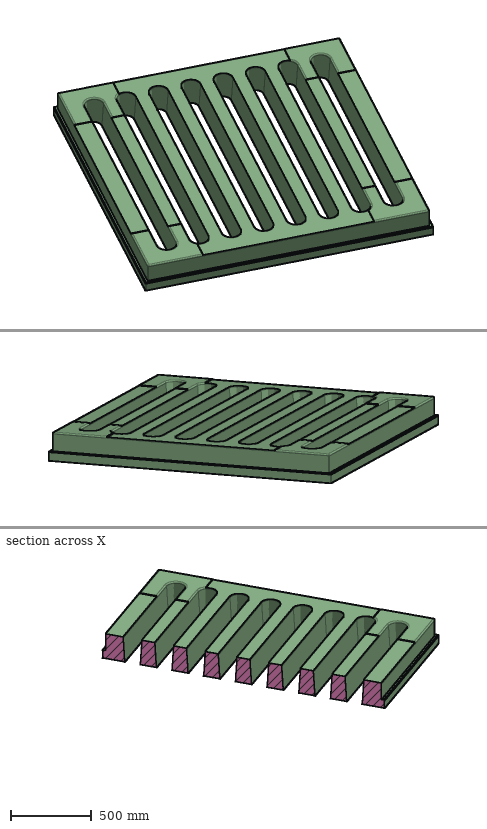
import cadquery as cq

base_side = 1870.0
flange_height = 60.0
flange_bevel = 5.0

total_height = 180.0
flange_ledge = 20.0
body_side = base_side - 2 * flange_ledge

corner_radius = 5.0
rim_radius = 10.0

recess_depth = 5.0
recess_width_x = 1150.0
recess_width_y = 1110.0

slot_count = 8
slot_pitch = 210.0
slot_top_length = 1596.0
slot_top_width = 122.0
slot_narrowing = 11.0
slot_bottom_length = slot_top_length - 2 * slot_narrowing
slot_bottom_width = slot_top_width - 2 * slot_narrowing


def square_block(side, height):
    """Square block standing on Z = 0 with rounded vertical corners."""
    block = cq.Workplane("XY").rect(side, side).extrude(height)
    return block.edges("|Z").fillet(corner_radius)


def stepped_block():
    """Body rising from the wider flange, whose upper edge is bevelled."""
    flange = square_block(base_side, flange_height)
    flange = flange.faces(">Z").edges().chamfer(flange_bevel)
    return flange.union(square_block(body_side, total_height))


def slot_cutter(y):
    """Long tapered slot through the full height, centred at the given Y."""
    return (
        cq.Workplane("XY")
        .center(0, y)
        .slot2D(slot_bottom_length, slot_bottom_width)
        .workplane(offset=total_height)
        .slot2D(slot_top_length, slot_top_width)
        .loft(ruled=True)
    )


def cross_recess():
    """Shallow cross that separates the four corner pads."""
    floor = cq.Workplane("XY").workplane(offset=total_height - recess_depth)
    along_y = floor.rect(recess_width_x, base_side).extrude(recess_depth)
    along_x = floor.rect(base_side, recess_width_y).extrude(recess_depth)
    return along_y.union(along_x)


grating = stepped_block()
first_slot_y = -slot_pitch * (slot_count - 1) / 2
for index in range(slot_count):
    grating = grating.cut(slot_cutter(first_slot_y + index * slot_pitch))

grating = grating.faces(">Z").edges().fillet(rim_radius)

result = grating.cut(cross_recess())